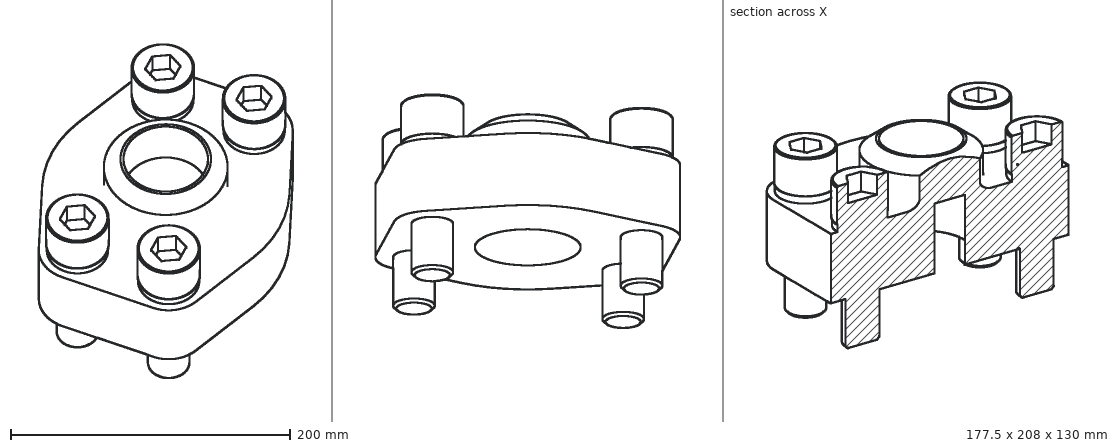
import cadquery as cq
import math

plate_length = 208.0
plate_width = 177.5
plate_thickness = 55.0

bolt_spacing_x = 71.3
bolt_spacing_y = 152.5
bolt_x = bolt_spacing_x / 2
bolt_y = bolt_spacing_y / 2
corner_radius = plate_length / 2 - bolt_y
side_radius = plate_width / 2

neck_diameter = 88.8
neck_height = 34.7
neck_fillet = 7.0
rim_diameter = 65.0
bevel_height = 9.2

bore_diameter = 60.5
plate_bore_diameter = 76.0

head_diameter = 45.0
head_top_height = 36.0
head_chamfer = 1.0
washer_diameter = 44.0
washer_thickness = 5.8
shank_diameter = 30.0
shank_projection = 39.0
shank_chamfer = 2.3
socket_across_flats = 22.0
socket_depth = 15.5


def on_circle(center_x, center_y, radius, angle):
    """Point on a circle at an angle in radians from +X."""
    return (center_x + radius * math.cos(angle), center_y + radius * math.sin(angle))


def make_plate():
    bolt_distance = math.hypot(bolt_x, bolt_y)
    bolt_angle = math.atan2(bolt_y, bolt_x)
    flank_angle = bolt_angle - math.acos((side_radius - corner_radius) / bolt_distance)
    corner_mid_angle = (flank_angle + math.pi / 2) / 2

    side_x, side_y = on_circle(0, 0, side_radius, flank_angle)
    corner_x, corner_y = on_circle(bolt_x, bolt_y, corner_radius, flank_angle)
    mid_x, mid_y = on_circle(bolt_x, bolt_y, corner_radius, corner_mid_angle)
    end_y = plate_length / 2

    return (
        cq.Workplane("XY")
        .moveTo(side_x, -side_y)
        .threePointArc((side_radius, 0), (side_x, side_y))
        .lineTo(corner_x, corner_y)
        .threePointArc((mid_x, mid_y), (bolt_x, end_y))
        .lineTo(-bolt_x, end_y)
        .threePointArc((-mid_x, mid_y), (-corner_x, corner_y))
        .lineTo(-side_x, side_y)
        .threePointArc((-side_radius, 0), (-side_x, -side_y))
        .lineTo(-corner_x, -corner_y)
        .threePointArc((-mid_x, -mid_y), (-bolt_x, -end_y))
        .lineTo(bolt_x, -end_y)
        .threePointArc((mid_x, -mid_y), (corner_x, -corner_y))
        .close()
        .extrude(plate_thickness)
    )


def revolve_about_z(profile):
    """Turn a closed (radius, Z) profile about the Z axis."""
    return profile.close().revolve(360, (0, 0, 0), (0, 1, 0))


def make_neck():
    neck_radius = neck_diameter / 2
    neck_top = plate_thickness + neck_height
    fillet_middle = neck_fillet * (1 - math.sqrt(0.5))
    return revolve_about_z(
        cq.Workplane("XZ")
        .lineTo(neck_radius + neck_fillet, 0)
        .lineTo(neck_radius + neck_fillet, plate_thickness)
        .threePointArc(
            (neck_radius + fillet_middle, plate_thickness + fillet_middle),
            (neck_radius, plate_thickness + neck_fillet),
        )
        .lineTo(neck_radius, neck_top - bevel_height)
        .lineTo(rim_diameter / 2, neck_top)
        .lineTo(0, neck_top)
    )


def make_bore():
    neck_top = plate_thickness + neck_height
    neck_bore = cq.Workplane("XY").circle(bore_diameter / 2).extrude(neck_top)
    plate_bore = cq.Workplane("XY").circle(plate_bore_diameter / 2).extrude(plate_thickness)
    return neck_bore.union(plate_bore)


def make_screw():
    """Screw with washer on the Z axis, at its height in the plate."""
    shank_radius = shank_diameter / 2
    washer_radius = washer_diameter / 2
    head_radius = head_diameter / 2
    head_bottom = plate_thickness + washer_thickness
    head_top = plate_thickness + head_top_height
    body = revolve_about_z(
        cq.Workplane("XZ")
        .moveTo(0, -shank_projection)
        .lineTo(shank_radius - shank_chamfer, -shank_projection)
        .lineTo(shank_radius, shank_chamfer - shank_projection)
        .lineTo(shank_radius, plate_thickness)
        .lineTo(washer_radius, plate_thickness)
        .lineTo(washer_radius, head_bottom)
        .lineTo(head_radius, head_bottom)
        .lineTo(head_radius, head_top - head_chamfer)
        .lineTo(head_radius - head_chamfer, head_top)
        .lineTo(0, head_top)
    )
    socket = (
        cq.Workplane("XY", origin=(0, 0, head_top))
        .transformed(rotate=(0, 0, 90))
        .polygon(6, socket_across_flats / math.cos(math.pi / 6))
        .extrude(-socket_depth)
    )
    return body.cut(socket)


result = make_plate().union(make_neck()).cut(make_bore())

screw = make_screw()
for x in (-bolt_x, bolt_x):
    for y in (-bolt_y, bolt_y):
        result = result.union(screw.translate((x, y, 0)))